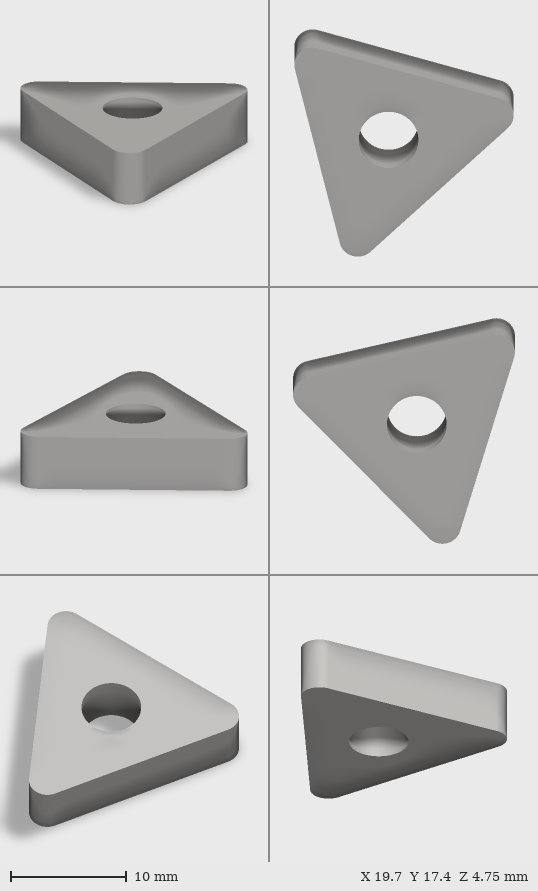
import cadquery as cq
import math

overall_width = 19.65
thickness = 4.75
corner_radius = 1.6
hole_diameter = 5.17

corner_spacing = overall_width - 2 * corner_radius
inscribed_radius = corner_spacing / (2 * math.sqrt(3)) + corner_radius

sharp_corner_radius = 2 * inscribed_radius
corner_angles = [math.radians(degrees) for degrees in (90, 210, 330)]
sharp_corners = [
    (sharp_corner_radius * math.cos(angle), sharp_corner_radius * math.sin(angle))
    for angle in corner_angles
]

plate = cq.Workplane("XY").polyline(sharp_corners).close().extrude(thickness)
plate = plate.edges("|Z").fillet(corner_radius)

result = plate.faces(">Z").workplane(origin=(0, 0, thickness)).hole(hole_diameter)